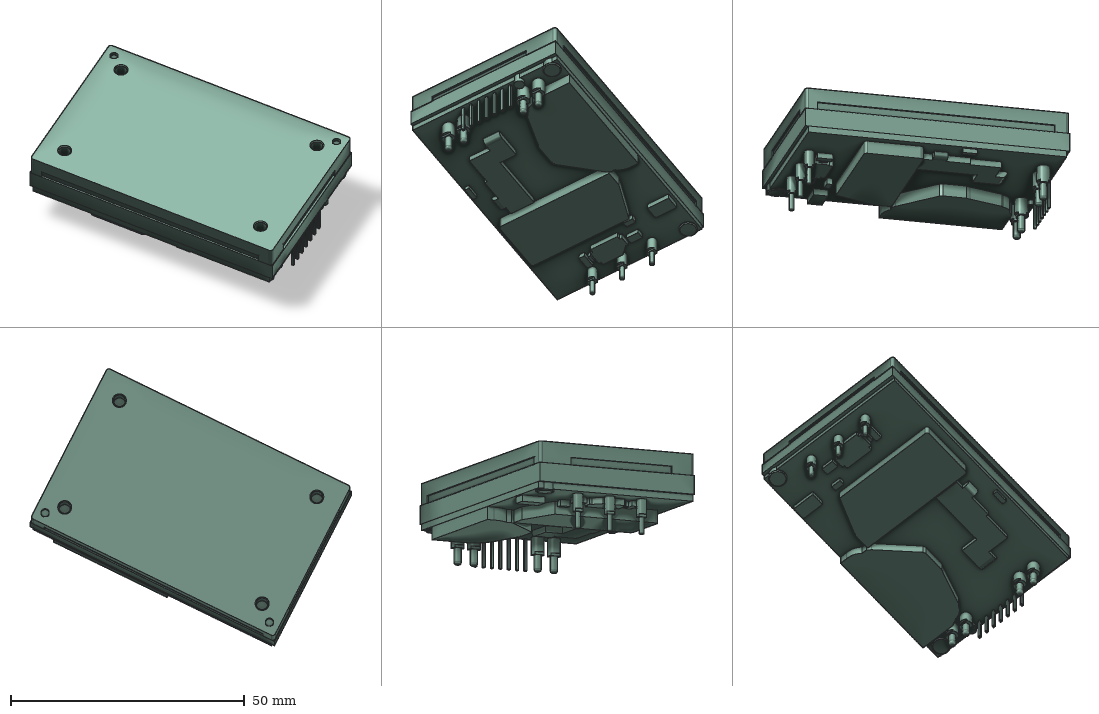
import cadquery as cq


LENGTH = 58.4
WIDTH = 36.8
BOARD_THICKNESS = 1.4
FRAME_HEIGHT = 4.1
LID_HEIGHT = 4.7
PIN_DROP = 7.55

FRAME_TOP = BOARD_THICKNESS + FRAME_HEIGHT
LID_TOP = FRAME_TOP + LID_HEIGHT

LID_LENGTH = 58.15
LID_CORNER_RADIUS = 0.65
SCREW_HOLE_DIAMETER = 2.5
SCREW_HOLE_CHAMFER = 0.25
SCREW_HOLE_DEPTH = 2.9
SCREW_HOLE_SPACING_X = 47.2
SCREW_HOLE_SPACING_Y = 26.15
RIVET_X = 26.8
RIVET_Y = 16.0
RIVET_HOLE_DIAMETER = 1.75
RIVET_HOLE_DEPTH = 0.8

INSERT_THICKNESS = 1.65
INSERT_SETBACK = 0.4
LONG_WINDOW = 52.3
LONG_WINDOW_X = -0.3
SHORT_WINDOW = 23.95
SHORT_WINDOW_Y = -1.1

BOARD_LENGTH = 57.0
RIVET_HEAD_RADIUS = 2.0
RIVET_HEAD_DROP = 0.4
RIVET_HEAD_CHAMFER = 0.25

CORE_DROP = 2.8
TALL_CHIP_DROP = 1.4
MEDIUM_CHIP_DROP = 1.2
LOW_CHIP_DROP = 1.0

CORE_CORNER_RADIUS = 0.65
CUT_CORNER_SIZE = 1.75
FRONT_CHIP_RADIUS = 1.3
END_CHIP_RADIUS = 1.15

COLLAR_DROP = 3.25
SHOULDER_DROP = 3.85
INPUT_PIN_X = -25.6
INPUT_PIN_YS = (-7.6, 0.0, 7.6)
INPUT_PIN_DIAMETER = 1.05
INPUT_COLLAR_DIAMETER = 2.15
INPUT_SHOULDER_WIDTH = 1.2
INPUT_TIP_RADIUS = 0.25
OUTPUT_PIN_X = 25.1
OUTPUT_PIN_YS = (-11.45, -7.6, 7.6, 11.45)
OUTPUT_PIN_DIAMETER = 1.6
OUTPUT_COLLAR_DIAMETER = 2.8
OUTPUT_SHOULDER_WIDTH = 1.8
OUTPUT_TIP_RADIUS = 0.65

SIGNAL_PIN_X = 27.75
SIGNAL_PIN_COUNT = 7
SIGNAL_PIN_PITCH = 2.0
SIGNAL_PIN_WIDTH = 0.5
SIGNAL_PIN_DROP = 7.1
SIGNAL_TIP_CHAMFER = 0.2
BUTTON_X = 27.6
BUTTON_RADIUS = 1.1
BUTTON_Y = 8.2


def block(x_range, y_range, z_range):
    """Box between the given limits."""
    return cq.Workplane("XY").box(
        x_range[1] - x_range[0],
        y_range[1] - y_range[0],
        z_range[1] - z_range[0],
        centered=False,
    ).translate((x_range[0], y_range[0], z_range[0]))


def chip(x_range, y_range, drop):
    """Rectangular part hanging from the underside of the board."""
    return block(x_range, y_range, (-drop, 0))


def disc(x, y, radius, z_range):
    """Upright cylinder between two heights."""
    height = z_range[1] - z_range[0]
    return cq.Workplane("XY", origin=(x, y, z_range[0])).circle(radius).extrude(height)


def cross(setback):
    """Cross-shaped plate on top of the frame, its ends set back from the lid walls."""
    plate_top = FRAME_TOP + INSERT_THICKNESS
    half_length = LID_LENGTH / 2 - setback
    half_width = WIDTH / 2 - setback
    across = block(
        (LONG_WINDOW_X - LONG_WINDOW / 2, LONG_WINDOW_X + LONG_WINDOW / 2),
        (-half_width, half_width),
        (FRAME_TOP, plate_top),
    )
    along = block(
        (-half_length, half_length),
        (SHORT_WINDOW_Y - SHORT_WINDOW / 2, SHORT_WINDOW_Y + SHORT_WINDOW / 2),
        (FRAME_TOP, plate_top),
    )
    return across.union(along)


def make_lid():
    lid = (
        cq.Workplane("XY", origin=(0, 0, FRAME_TOP))
        .rect(LID_LENGTH, WIDTH)
        .extrude(LID_HEIGHT)
        .edges("|Z")
        .fillet(LID_CORNER_RADIUS)
        .cut(cross(setback=0))
    )
    top = cq.Workplane("XY", origin=(0, 0, LID_TOP))
    screw_holes = (
        top.rarray(SCREW_HOLE_SPACING_X, SCREW_HOLE_SPACING_Y, 2, 2)
        .circle(SCREW_HOLE_DIAMETER / 2)
        .extrude(-SCREW_HOLE_DEPTH)
    )
    countersinks = (
        top.rarray(SCREW_HOLE_SPACING_X, SCREW_HOLE_SPACING_Y, 2, 2)
        .circle(SCREW_HOLE_DIAMETER / 2 + SCREW_HOLE_CHAMFER)
        .extrude(-SCREW_HOLE_CHAMFER, taper=45)
    )
    rivet_holes = (
        top.pushPoints([(-RIVET_X, RIVET_Y), (RIVET_X, RIVET_Y)])
        .circle(RIVET_HOLE_DIAMETER / 2)
        .extrude(-RIVET_HOLE_DEPTH)
    )
    return lid.cut(screw_holes).cut(countersinks).cut(rivet_holes)


def make_insert():
    return cross(setback=INSERT_SETBACK)


def make_frame():
    return block(
        (-LENGTH / 2, LENGTH / 2),
        (-WIDTH / 2, WIDTH / 2),
        (BOARD_THICKNESS, FRAME_TOP),
    )


def make_front_core():
    """Core with a slanted back edge."""
    outline = [(-15.6, -16.5), (-2.5, -16.5), (-2.5, 11.55), (-6.4, 11.55), (-15.6, 8.2)]
    core = cq.Workplane("XY").polyline(outline).close().extrude(-CORE_DROP)
    return core.edges("|Z and <Y").fillet(CORE_CORNER_RADIUS)


def make_back_core():
    """Core along the back edge, with slanted and rounded shoulders."""
    return (
        cq.Workplane("XY")
        .moveTo(-3.5, 18.35)
        .lineTo(-3.5, 16.7)
        .threePointArc((-3.15, 14.6), (-2.35, 13.25))
        .lineTo(-2.35, 12.05)
        .lineTo(-1.7, 11.15)
        .lineTo(5.95, 3.2)
        .lineTo(6.6, 2.9)
        .lineTo(11.85, 2.9)
        .lineTo(12.7, 3.25)
        .lineTo(20.3, 5.55)
        .lineTo(20.8, 5.95)
        .threePointArc((22.2, 7.0), (22.8, 8.45))
        .lineTo(23.6, 9.9)
        .lineTo(23.6, 18.35)
        .close()
        .extrude(-CORE_DROP)
    )


def make_input_chips():
    """Small parts beside the input pins."""
    cut_corner = chip((-24.4, -19.45), (-4.15, 2.75), TALL_CHIP_DROP)
    cut_corner = cut_corner.edges("|Z and <X and >Y").chamfer(CUT_CORNER_SIZE)
    return [
        cut_corner,
        chip((-23.7, -20.3), (-4.75, -4.15), TALL_CHIP_DROP),
        chip((-22.65, -20.3), (2.75, 3.3), TALL_CHIP_DROP),
        chip((-19.45, -16.3), (12.45, 17.8), TALL_CHIP_DROP),
        chip((-18.2, -17.0), (5.85, 8.2), TALL_CHIP_DROP),
        chip((-23.7, -20.3), (-7.6, -6.2), MEDIUM_CHIP_DROP),
        chip((-22.8, -21.0), (-5.8, -5.15), MEDIUM_CHIP_DROP),
        chip((-22.8, -21.0), (4.1, 7.0), MEDIUM_CHIP_DROP),
    ]


def make_output_chips():
    """Small parts between the front core and the output pins."""
    rounded_front = chip((0.3, 3.3), (-14.6, -12.85), TALL_CHIP_DROP)
    rounded_front = rounded_front.edges("<Y and <Z").fillet(FRONT_CHIP_RADIUS)
    rounded_end = chip((11.7, 18.35), (-7.0, -2.9), TALL_CHIP_DROP)
    rounded_end = rounded_end.edges(">X and <Z").fillet(END_CHIP_RADIUS)
    return [
        rounded_front,
        rounded_end,
        chip((-1.7, 8.7), (-12.85, -7.0), TALL_CHIP_DROP),
        chip((8.7, 15.65), (-12.25, -7.0), TALL_CHIP_DROP),
        chip((5.8, 8.95), (-17.75, -16.7), LOW_CHIP_DROP),
    ]


def make_power_pin(x, y, pin_diameter, collar_diameter, shoulder_width, tip_radius):
    """Round-tipped pin with a round collar, whose lower end is cut down to a narrow bar."""
    collar = disc(x, y, collar_diameter / 2, (-SHOULDER_DROP, 0))
    half_bar = shoulder_width / 2
    collar_radius = collar_diameter / 2
    y_range = (y - collar_radius, y + collar_radius)
    z_range = (-SHOULDER_DROP, -COLLAR_DROP)
    collar = collar.cut(block((x - collar_radius, x - half_bar), y_range, z_range))
    collar = collar.cut(block((x + half_bar, x + collar_radius), y_range, z_range))
    pin = disc(x, y, pin_diameter / 2, (-PIN_DROP, 0)).faces("<Z").edges().fillet(tip_radius)
    return collar.union(pin)


def make_input_pins():
    return [
        make_power_pin(
            INPUT_PIN_X, y, INPUT_PIN_DIAMETER, INPUT_COLLAR_DIAMETER,
            INPUT_SHOULDER_WIDTH, INPUT_TIP_RADIUS,
        )
        for y in INPUT_PIN_YS
    ]


def make_output_pins():
    return [
        make_power_pin(
            OUTPUT_PIN_X, y, OUTPUT_PIN_DIAMETER, OUTPUT_COLLAR_DIAMETER,
            OUTPUT_SHOULDER_WIDTH, OUTPUT_TIP_RADIUS,
        )
        for y in OUTPUT_PIN_YS
    ]


def make_signal_pins():
    """Row of square pins with pointed tips, centred on the board."""
    pins = []
    half = SIGNAL_PIN_WIDTH / 2
    for i in range(SIGNAL_PIN_COUNT):
        y = (i - (SIGNAL_PIN_COUNT - 1) / 2) * SIGNAL_PIN_PITCH
        pin = chip((SIGNAL_PIN_X - half, SIGNAL_PIN_X + half), (y - half, y + half), SIGNAL_PIN_DROP)
        pins.append(pin.faces("<Z").chamfer(SIGNAL_TIP_CHAMFER))
    return pins


def make_rivet_heads():
    """Round heads below the lid's rivet holes, standing out past the ends of the board."""
    return [
        disc(x, RIVET_Y, RIVET_HEAD_RADIUS, (-RIVET_HEAD_DROP, BOARD_THICKNESS))
        .faces("<Z")
        .chamfer(RIVET_HEAD_CHAMFER)
        for x in (-RIVET_X, RIVET_X)
    ]


def make_board():
    """Circuit board, made in one piece with the parts and pins it carries."""
    board = block(
        (-BOARD_LENGTH / 2, BOARD_LENGTH / 2),
        (-WIDTH / 2, WIDTH / 2),
        (0, BOARD_THICKNESS),
    )
    button = disc(BUTTON_X, BUTTON_Y, BUTTON_RADIUS, (-LOW_CHIP_DROP, BOARD_THICKNESS))
    mounted = [make_front_core(), make_back_core(), button]
    mounted += make_input_chips() + make_output_chips()
    mounted += make_input_pins() + make_output_pins() + make_signal_pins()
    mounted += make_rivet_heads()
    for item in mounted:
        board = board.union(item)
    return board


lid = make_lid()
insert = make_insert()
frame = make_frame()
board = make_board()

result = cq.Compound.makeCompound([lid.val(), insert.val(), frame.val(), board.val()])